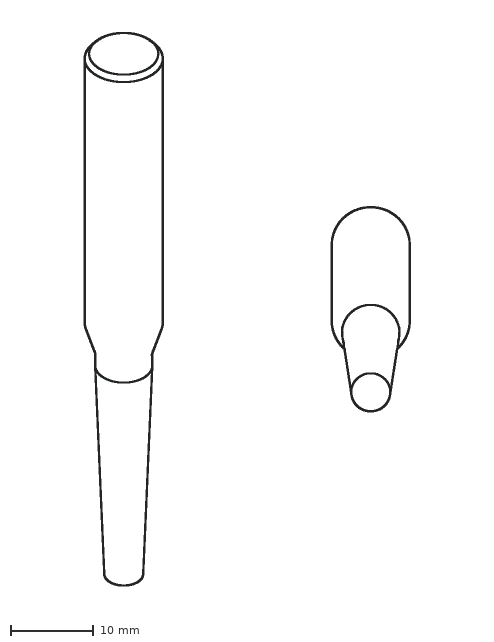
import cadquery as cq

total_length = 79.4
shank_radius = 4.8
chamfer_width = 0.55
chamfer_height = 0.7

cutter_top = 31.8
neck_top = 34.0
shank_bottom = 38.3

neck_radius = 3.5
tip_radius = 2.4


def turn(profile):
    """Revolve a half profile of (radius, height) points about the Z axis."""
    return cq.Workplane("XZ").polyline(profile).close().revolve(360, (0, 0), (0, 1))


def make_cutter():
    """Tapered cutting end, widest where it meets the neck."""
    return turn([
        (0, 0),
        (tip_radius, 0),
        (neck_radius, cutter_top),
        (0, cutter_top),
    ])


def make_shank():
    """Neck, transition cone and chamfered shank, turned as one piece."""
    return turn([
        (0, cutter_top),
        (neck_radius, cutter_top),
        (neck_radius, neck_top),
        (shank_radius, shank_bottom),
        (shank_radius, total_length - chamfer_height),
        (shank_radius - chamfer_width, total_length),
        (0, total_length),
    ])


cutter = make_cutter()
shank = make_shank()

result = cq.Compound.makeCompound([cutter.val(), shank.val()])